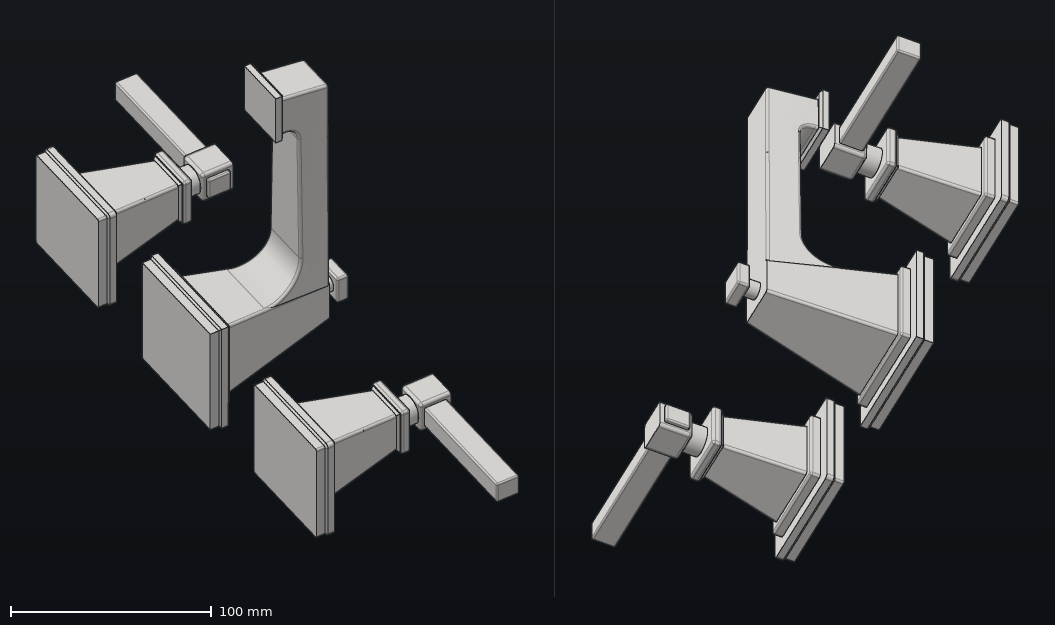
import cadquery as cq
import math

TOTAL_WIDTH = 357.2
TOTAL_DEPTH = 96.5
TOTAL_HEIGHT = 185.0
HANDLE_X = 101.8

PLATE_REVEAL = 1.0
PLATE_DEPTH = 5.0
FLANGE_BACK = 10.0
STEP_BACK = 15.5
STEP_FILLET = 1.25

SPOUT_FLANGE = 65.7
SPOUT_STEP = 52.0
SPOUT_ROOT = 45.7
SPOUT_END = 24.3
SPOUT_BACK = 82.5
SPOUT_TOP = TOTAL_HEIGHT - SPOUT_FLANGE / 2
RISER_FRONT = 64.0
RISER_TOP_WIDTH = 23.5
SPOUT_FILLET = 1.5
RISER_BACK_TOP = 143.5
THROAT_RADIUS = 20.0
MOUTH_RADIUS = 8.0
MOUTH_TOP = 148.0
OUTLET_SIZE = 29.3
OUTLET_FRONT = 49.3
OUTLET_BACK = 54.3
OUTLET_CHAMFER = 1.5

KNOB_SIZE = 16.0
KNOB_FRONT = 89.5
KNOB_FILLET = 1.0
KNOB_STEM_RADIUS = 4.5

HANDLE_FLANGE = 60.7
HANDLE_CORNER_RADIUS = 2.0
HANDLE_STEP = 45.0
HANDLE_ROOT = 36.5
HANDLE_END = 23.0
BODY_FILLET = 1.5
COLLAR_SIZE = 28.0
COLLAR_FRONT = 59.5
COLLAR_BACK = 65.0
COLLAR_FILLET = 1.5
NECK_CHAMFER = 1.8
STEM_RADIUS = 8.0
HUB_SIZE = 18.2
HUB_FRONT = 73.5
HUB_FILLET = 1.8
LEVER_HEIGHT = 12.0
LEVER_DEPTH = 13.2
LEVER_STUB = 2.0
LEVER_FILLET = 0.9


def square_block(size, front, back):
    """Square block centred on the Y axis between two Y positions."""
    return cq.Workplane("XZ", origin=(0, front, 0)).rect(size, size).extrude(front - back)


def square_taper(front_size, front, back_size, back):
    """Square frustum centred on the Y axis between two Y positions."""
    return (
        cq.Workplane("XZ", origin=(0, front, 0))
        .rect(front_size, front_size)
        .workplane(offset=front - back)
        .rect(back_size, back_size)
        .loft(ruled=True)
    )


def mounting_base(flange_size, step_size, corner_radius=0):
    """Wall plate, bevelled flange and rounded step; the corners stay sharp when the radius is 0."""
    plate = square_block(flange_size - 2 * PLATE_REVEAL, 0, PLATE_DEPTH)
    flange = square_block(flange_size, PLATE_DEPTH, FLANGE_BACK)
    if corner_radius > 0:
        plate = plate.edges("|Y").fillet(corner_radius - PLATE_REVEAL)
        flange = flange.edges("|Y").fillet(corner_radius)
    flange = flange.faces("<Y").chamfer(PLATE_REVEAL)
    step = square_block(step_size, FLANGE_BACK, STEP_BACK)
    step = step.edges("|Y or >Y").fillet(STEP_FILLET)
    return plate.union(flange).union(step)


def spout_riser():
    """Upright neck with a concave throat, curved mouth and sloping top."""
    slope = (SPOUT_ROOT - SPOUT_END) / 2 / (SPOUT_BACK - STEP_BACK)

    def body_half(y):
        return SPOUT_END / 2 + slope * (SPOUT_BACK - y)

    tilt = math.atan(slope)
    throat_center = (
        RISER_FRONT - THROAT_RADIUS,
        body_half(RISER_FRONT - THROAT_RADIUS) + THROAT_RADIUS / math.cos(tilt),
    )

    def throat_point(angle):
        return (
            throat_center[0] + THROAT_RADIUS * math.cos(angle),
            throat_center[1] + THROAT_RADIUS * math.sin(angle),
        )

    tangent_angle = -math.pi / 2 - tilt
    throat_start = throat_point(tangent_angle)
    throat_front = throat_start[0]
    riser_bottom = SPOUT_END / 2 - SPOUT_FILLET
    mouth_end = (OUTLET_FRONT + OUTLET_BACK) / 2
    mouth_bottom = SPOUT_TOP - OUTLET_SIZE + OUTLET_CHAMFER
    diagonal = math.sqrt(0.5)
    mouth_front = RISER_FRONT - MOUTH_RADIUS
    mouth_mid = (
        mouth_front + MOUTH_RADIUS * diagonal,
        mouth_bottom - MOUTH_RADIUS * (1 - diagonal),
    )
    profile = (
        cq.Workplane("YZ", origin=(-SPOUT_ROOT / 2, 0, 0))
        .moveTo(throat_front, riser_bottom)
        .lineTo(*throat_start)
        .threePointArc(throat_point(tangent_angle / 2), throat_point(0))
        .lineTo(RISER_FRONT, mouth_bottom - MOUTH_RADIUS)
        .threePointArc(mouth_mid, (mouth_front, mouth_bottom))
        .lineTo(mouth_end, mouth_bottom)
        .lineTo(mouth_end, MOUTH_TOP)
        .lineTo(SPOUT_BACK, RISER_BACK_TOP)
        .lineTo(SPOUT_BACK, riser_bottom)
        .close()
        .extrude(SPOUT_ROOT)
    )

    front_half = body_half(throat_front)
    back_half = SPOUT_END / 2
    top_half = RISER_TOP_WIDTH / 2
    envelope = (
        cq.Workplane("XY", origin=(0, 0, riser_bottom))
        .polyline([
            (-front_half, throat_front),
            (front_half, throat_front),
            (back_half, SPOUT_BACK),
            (-back_half, SPOUT_BACK),
        ])
        .close()
        .workplane(offset=SPOUT_TOP - riser_bottom)
        .polyline([
            (-top_half, throat_front),
            (top_half, throat_front),
            (top_half, SPOUT_BACK),
            (-top_half, SPOUT_BACK),
        ])
        .close()
        .loft(ruled=True)
    )
    riser = profile.intersect(envelope)
    side_edges = riser.edges("%BSPLINE exc <Y")
    top_back_edge = riser.faces(">Y").edges(">Z")
    return side_edges.add(top_back_edge).fillet(SPOUT_FILLET)


def make_spout():
    base = mounting_base(SPOUT_FLANGE, SPOUT_STEP)
    body = square_taper(SPOUT_ROOT, STEP_BACK, SPOUT_END, SPOUT_BACK)
    body = body.edges("not #Y").fillet(SPOUT_FILLET)
    outlet = (
        square_block(OUTLET_SIZE, OUTLET_FRONT, OUTLET_BACK)
        .faces(">Y")
        .chamfer(OUTLET_CHAMFER)
        .translate((0, 0, SPOUT_TOP - OUTLET_SIZE / 2))
    )
    knob_stem = cq.Workplane("XZ", origin=(0, SPOUT_BACK, 0)).circle(KNOB_STEM_RADIUS)
    knob_stem = knob_stem.extrude(SPOUT_BACK - KNOB_FRONT)
    knob = square_block(KNOB_SIZE, KNOB_FRONT, TOTAL_DEPTH).edges().fillet(KNOB_FILLET)
    return base.union(body).union(spout_riser()).union(outlet).union(knob_stem).union(knob)


def make_handle(side):
    """Handle with its lever pointing outward; side is -1 for left and +1 for right."""
    base = mounting_base(HANDLE_FLANGE, HANDLE_STEP, HANDLE_CORNER_RADIUS)
    body = square_taper(HANDLE_ROOT, STEP_BACK, HANDLE_END, COLLAR_FRONT)
    body = body.edges("not #Y").fillet(BODY_FILLET)
    neck_front = COLLAR_FRONT - NECK_CHAMFER
    neck = square_taper(HANDLE_END, neck_front, HANDLE_END + 2 * NECK_CHAMFER, COLLAR_FRONT)
    collar = square_block(COLLAR_SIZE, COLLAR_FRONT, COLLAR_BACK).edges().fillet(COLLAR_FILLET)
    stem = cq.Workplane("XZ", origin=(0, COLLAR_BACK, 0)).circle(STEM_RADIUS)
    stem = stem.extrude(COLLAR_BACK - HUB_FRONT)
    hub = square_block(HUB_SIZE, HUB_FRONT, HUB_FRONT + HUB_SIZE).edges("|Y or <Y").fillet(HUB_FILLET)

    inner_end = -HUB_SIZE / 2 - LEVER_STUB
    outer_end = TOTAL_WIDTH / 2 - HANDLE_X
    lever = (
        cq.Workplane("XY")
        .box(outer_end - inner_end, LEVER_DEPTH, LEVER_HEIGHT)
        .edges()
        .fillet(LEVER_FILLET)
        .translate(((inner_end + outer_end) / 2, HUB_FRONT + HUB_SIZE / 2, 0))
    )
    handle = base.union(body).union(neck).union(collar).union(stem).union(hub).union(lever)
    if side < 0:
        handle = handle.mirror("YZ")
    return handle.translate((side * HANDLE_X, 0, 0))


spout = make_spout()
handles = [make_handle(side) for side in (-1, 1)]
result = cq.Compound.makeCompound([spout.val(), *[handle.val() for handle in handles]])